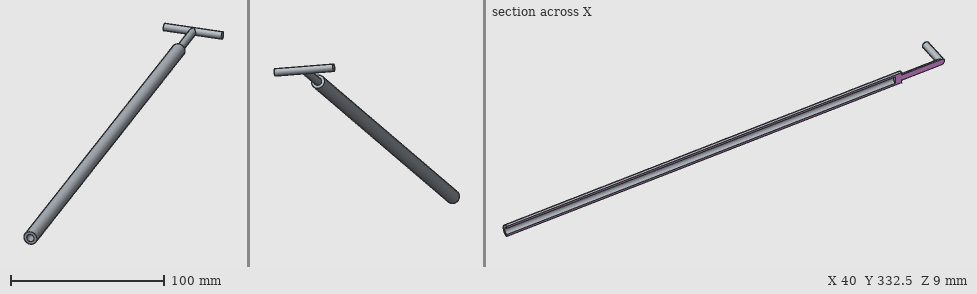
import cadquery as cq

tube_diameter = 9.0
tube_length = 300.0
rod_diameter = 5.0
handle_length = 40.0
handle_offset = 30.0
rod_insertion = 5.0

tube_front_y = 0.0
tube_rear_y = tube_front_y + tube_length
rod_front_y = tube_rear_y - rod_insertion
handle_axis_y = tube_rear_y + handle_offset


def bar_along_y(diameter, start_y, end_y):
    """Round bar on the Y axis between two Y positions."""
    profile = cq.Workplane("XZ", origin=(0, start_y, 0)).circle(diameter / 2)
    return profile.extrude(start_y - end_y)


def hollow_tube():
    """Long tube, bored from its front end up to the seated rod."""
    outside = bar_along_y(tube_diameter, tube_front_y, tube_rear_y)
    bore = bar_along_y(rod_diameter, tube_front_y, rod_front_y)
    return outside.cut(bore)


def cross_handle():
    """Round bar along X, centred on the end of the rod."""
    profile = cq.Workplane("YZ", origin=(0, handle_axis_y, 0)).circle(rod_diameter / 2)
    return profile.extrude(handle_length / 2, both=True)


rod = bar_along_y(rod_diameter, rod_front_y, handle_axis_y)

result = hollow_tube().union(rod).union(cross_handle())